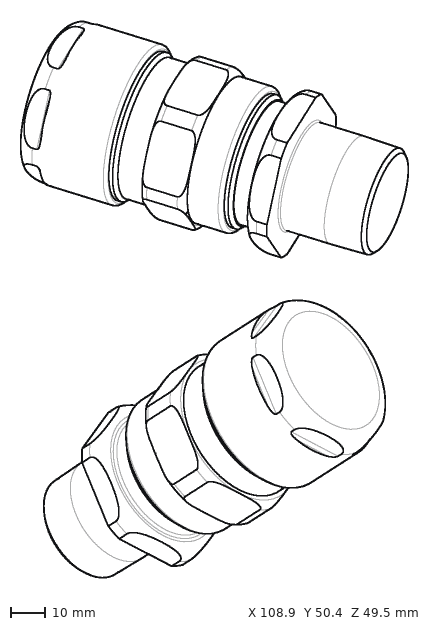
import cadquery as cq
import math


hex_sides = 6
across_flats = 46.0
hex_corner_diameter = 50.4

cap_diameter = 49.5
cap_length = 29.5
cap_face_diameter = 38.4
cap_rim_fillet = 1.1
cap_flat_length = 8.0
cap_flat_fillet = 1.0

seal_chamfer = 1.2
cap_seal_diameter = 46.0
cap_seal_length = 2.4
skirt_seal_diameter = 41.3
skirt_seal_length = 2.4

spigot_diameter = 43.6
body_hex_start = 40.4
body_hex_length = 14.2
body_hex_fillet = 2.2
skirt_diameter = 45.2
skirt_end = 65.6
skirt_fillet = 1.2

neck_diameter = 38.1
neck_fillet = 0.8
entry_hex_start = 73.5
entry_hex_length = 7.7
entry_hex_fillet = 4.4
nipple_diameter = 33.3
nipple_root_fillet = 0.5
taper_start = 95.8
taper_end_diameter = 32.8
nipple_chamfer = 1.2
total_length = 108.9


def cylinder(diameter, start, end):
    """Solid cylinder on the X axis between two X positions."""
    return cq.Workplane("YZ", origin=(start, 0, 0)).circle(diameter / 2).extrude(end - start)


def hexagon(start, length, corner_cylinder):
    """Hexagonal prism on the X axis with its corners trimmed by a turned cylinder."""
    corner_to_corner = across_flats / math.cos(math.pi / hex_sides)
    prism = cq.Workplane("YZ", origin=(start, 0, 0)).polygon(hex_sides, corner_to_corner).extrude(length)
    return prism.intersect(corner_cylinder)


def make_cap():
    """Closed cap with a round nose and six short wrench flats at the nose."""
    nose_fillet = (cap_diameter - cap_face_diameter) / 2
    cap = cylinder(cap_diameter, 0, cap_length)
    cap = cap.faces("<X").edges().fillet(nose_fillet)
    cap = cap.faces(">X").edges().fillet(cap_rim_fillet)

    flat_height = across_flats / 2
    cutter_depth = cap_diameter / 2
    cutter = (
        cq.Workplane("XY", origin=(0, 0, flat_height))
        .rect(2 * cap_flat_length, cap_diameter)
        .extrude(cutter_depth)
        .edges(">X and <Z")
        .fillet(cap_flat_fillet)
    )
    for side in range(hex_sides):
        cap = cap.cut(cutter.rotate((0, 0, 0), (1, 0, 0), 360 / hex_sides * side))
    return cap


def make_seal(outer_diameter, inner_diameter, start, length):
    """Seal ring with a chamfer on its outer +X edge."""
    ring = cylinder(outer_diameter, start, start + length)
    ring = ring.faces(">X").edges().chamfer(seal_chamfer)
    return ring.cut(cylinder(inner_diameter, start, start + length))


def make_body():
    """Spigot through the cap seal, hexagon with both ends rounded, and round skirt."""
    hex_end = body_hex_start + body_hex_length
    spigot = cylinder(spigot_diameter, cap_length, body_hex_start)
    corners = cylinder(hex_corner_diameter, body_hex_start, hex_end).edges().fillet(body_hex_fillet)
    skirt = cylinder(skirt_diameter, hex_end, skirt_end).faces(">X").edges().fillet(skirt_fillet)
    return spigot.union(hexagon(body_hex_start, body_hex_length, corners)).union(skirt)


def make_neck():
    """Neck through the skirt seal, flaring with a concave fillet into the entry hexagon."""
    radius = neck_diameter / 2
    sag = neck_fillet * (1 - math.sqrt(0.5))
    return (
        cq.Workplane("XY")
        .moveTo(skirt_end, 0)
        .lineTo(skirt_end, radius)
        .lineTo(entry_hex_start - neck_fillet, radius)
        .threePointArc(
            (entry_hex_start - sag, radius + sag),
            (entry_hex_start, radius + neck_fillet),
        )
        .lineTo(entry_hex_start, 0)
        .close()
        .revolve(360, (0, 0, 0), (1, 0, 0))
    )


def make_nipple(start):
    """Round nipple: concave root fillet, straight stretch, slight taper and end chamfer."""
    radius = nipple_diameter / 2
    end_radius = taper_end_diameter / 2
    sag = nipple_root_fillet * (1 - math.sqrt(0.5))
    return (
        cq.Workplane("XY")
        .moveTo(start, 0)
        .lineTo(start, radius + nipple_root_fillet)
        .threePointArc((start + sag, radius + sag), (start + nipple_root_fillet, radius))
        .lineTo(taper_start, radius)
        .lineTo(total_length - nipple_chamfer, end_radius)
        .lineTo(total_length, end_radius - nipple_chamfer)
        .lineTo(total_length, 0)
        .close()
        .revolve(360, (0, 0, 0), (1, 0, 0))
    )


def make_entry():
    """Neck, hexagon with its -X end rounded, and nipple in one piece."""
    hex_end = entry_hex_start + entry_hex_length
    corners = cylinder(hex_corner_diameter, entry_hex_start, hex_end)
    corners = corners.faces("<X").edges().fillet(entry_hex_fillet)
    entry_hex = hexagon(entry_hex_start, entry_hex_length, corners)
    return make_neck().union(entry_hex).union(make_nipple(hex_end))


cap = make_cap()
cap_seal = make_seal(cap_seal_diameter, spigot_diameter, cap_length, cap_seal_length)
body = make_body()
skirt_seal = make_seal(skirt_seal_diameter, neck_diameter, skirt_end, skirt_seal_length)
entry = make_entry()

result = cq.Compound.makeCompound(
    [cap.val(), cap_seal.val(), body.val(), skirt_seal.val(), entry.val()]
)